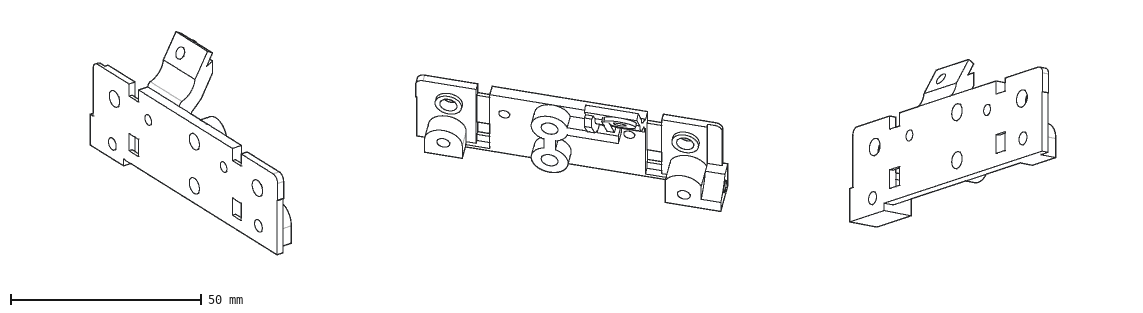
import cadquery as cq
import math


length = 83.5
lip_thickness = 1.0
plate_thickness = 2 * lip_thickness
core_thickness = 3 * lip_thickness
plate_left = 1.3
plate_bottom = 2.0
plate_top = 25.2
plate_corner_radius = 2.0
plate_mid_z = 18.1
right_edge_relief = 0.25

foot_width = 14.95
foot_depth = 9.0
foot_block_width = 5.3
foot_block_height = 9.1
foot_boss_top = 12.2
foot_cut_centre = 12.5
foot_cut_radius = 9.4
cross_hole_y = 3.6
cross_hole_z = 3.9
cross_hole_diameter = 3.3

slot_spans = [(17.4, 21.55), (63.4, 67.2)]
notch_floor = 21.6
window_bottom = 5.5
window_top = 10.6
flange_height = 1.0

boss_back = 7.0
centre_boss_x = 46.4
centre_boss_diameter = 9.9
upper_boss_z = 20.2
lower_boss_z = 7.2
end_boss_x = 75.0
end_boss_diameter = 10.2
left_ring_x = 10.85
right_ring_x = 74.5
ring_diameter = 7.2
ring_hole_diameter = 4.6
bar_thickness = 3.1
bar_left = 28.0

plate_holes = [
    (left_ring_x, plate_mid_z, ring_hole_diameter),
    (right_ring_x, plate_mid_z, ring_hole_diameter),
    (25.9, plate_mid_z, 2.9),
    (59.45, plate_mid_z, 2.9),
    (centre_boss_x, upper_boss_z, 4.5),
    (centre_boss_x, lower_boss_z, 4.5),
    (end_boss_x, lower_boss_z, 3.4),
    (9.9, 4.4, 3.4),
]

arm_left = slot_spans[0][1]
arm_width = 14.1
arm_angle = math.radians(30)
arm_thickness = 1.9
arm_tip_y = 12.2
arm_tip_z = 38.75
arm_bottom = upper_boss_z + bar_thickness / 2
arm_root_back = 4.3
arm_straight_length = 8.2
arm_boss_x = 26.4
arm_boss_radius = 4.3
arm_boss_height = 1.1
arm_hole_diameter = 3.25
arm_rib_width = 2.0

front_step_middle = (3.3, 26.05)
front_crease = (3.8, 26.5)
front_bend_middle = (6.7, 28.4)
back_bend_middle = (8.5, 27.2)
back_bend_end = (5.8, 25.05)
root_bend_middle = (4.7, 24.3)
root_bend_end_z = 23.1
back_straight_length = 7.85

rib_root = (4.5, 24.5)
rib_embed = 1.7
inner_rib_left = 29.2
inner_rib_foot_y = 6.0
outer_rib_back = 13.9
outer_rib_flat_top = 35.4
outer_rib_flat_bottom = 31.9
outer_rib_bend = (10.1, 25.3)
outer_rib_foot_top = 22.3


def box(x0, x1, y0, y1, z0, z1):
    """Block between two opposite corners."""
    return cq.Workplane("XY").box(x1 - x0, y1 - y0, z1 - z0, centered=False).translate((x0, y0, z0))


def post(x, z, diameter, y0, y1):
    """Round bar along Y."""
    return cq.Workplane("XZ", origin=(x, y0, z)).circle(diameter / 2).extrude(y0 - y1)


def arm_point(along, depth):
    """(y, z) of a point a distance below the arm tip and a depth behind the arm front face."""
    y = arm_tip_y - along * math.sin(arm_angle) + depth * math.cos(arm_angle)
    z = arm_tip_z - along * math.cos(arm_angle) - depth * math.sin(arm_angle)
    return (y, z)


def make_plate():
    lip = box(plate_left, length, 0, lip_thickness, plate_bottom, plate_top)
    body = box(foot_block_width, length, 0, plate_thickness, plate_bottom, plate_top)
    plate = lip.edges("|Y and >Z and <X").fillet(plate_corner_radius).union(body)
    plate = plate.edges("|Y and >Z and >X").fillet(plate_corner_radius)
    relief = box(length - right_edge_relief, length, 0, plate_thickness, plate_bottom, plate_mid_z)
    core = box(slot_spans[0][1], slot_spans[1][0], 0, core_thickness, plate_bottom, plate_top)
    return plate.cut(relief).union(core)


def cut_slots(body):
    flange_top = plate_bottom + flange_height
    for x0, x1 in slot_spans:
        body = body.cut(box(x0, x1, 0, core_thickness, notch_floor, plate_top))
        body = body.cut(box(x0, x1, 0, core_thickness, window_bottom, window_top))
        body = body.cut(box(x0, x1, lip_thickness, core_thickness, flange_top, plate_top))
    flange = box(foot_width, end_boss_x, 0, core_thickness, plate_bottom, flange_top)
    return body.union(flange)


def make_foot():
    block = box(0, foot_block_width, 0, foot_depth, 0, foot_block_height)
    scoop = (
        cq.Workplane("YZ")
        .center(foot_cut_centre, foot_cut_centre)
        .circle(foot_cut_radius)
        .extrude(foot_block_width)
    )
    boss = (
        cq.Workplane("XZ")
        .moveTo(foot_block_width, 0)
        .lineTo(foot_width, 0)
        .lineTo(foot_width, foot_block_height)
        .threePointArc(
            ((foot_block_width + foot_width) / 2, foot_boss_top),
            (foot_block_width, foot_block_height),
        )
        .close()
        .extrude(-foot_depth)
    )
    return block.cut(scoop).union(boss)


def make_bosses():
    bosses = post(end_boss_x, lower_boss_z, end_boss_diameter, 0, boss_back)
    end_left = end_boss_x - end_boss_diameter / 2
    end_right = end_boss_x + end_boss_diameter / 2
    end_foot = box(end_left, end_right, 0, boss_back, plate_bottom, lower_boss_z)
    bosses = bosses.union(end_foot)
    for z in (upper_boss_z, lower_boss_z):
        bosses = bosses.union(post(centre_boss_x, z, centre_boss_diameter, 0, boss_back))
    for x in (left_ring_x, right_ring_x):
        bosses = bosses.union(post(x, plate_mid_z, ring_diameter, 0, core_thickness))
    half_bar = bar_thickness / 2
    bar = box(bar_left, centre_boss_x, 0, boss_back, upper_boss_z - half_bar, upper_boss_z + half_bar)
    web_left = centre_boss_x - half_bar
    web_right = centre_boss_x + half_bar
    web = box(web_left, web_right, 0, boss_back, lower_boss_z, upper_boss_z)
    return bosses.union(bar).union(web)


def extrude_profile(profile, x, width):
    """Close a YZ outline and extrude it along X from the given x."""
    return profile.close().extrude(width).translate((x, 0, 0))


def make_arm():
    strip = (
        cq.Workplane("YZ")
        .moveTo(core_thickness, arm_bottom)
        .lineTo(core_thickness, plate_top)
        .threePointArc(front_step_middle, front_crease)
        .threePointArc(front_bend_middle, arm_point(arm_straight_length, 0))
        .lineTo(*arm_point(0, 0))
        .lineTo(*arm_point(0, arm_thickness))
        .lineTo(*arm_point(back_straight_length, arm_thickness))
        .threePointArc(back_bend_middle, back_bend_end)
        .threePointArc(root_bend_middle, (arm_root_back, root_bend_end_z))
        .lineTo(arm_root_back, arm_bottom)
    )
    arm = extrude_profile(strip, arm_left, arm_width)

    boss_depth = arm_thickness + arm_boss_height
    inner_rib = (
        cq.Workplane("YZ")
        .moveTo(core_thickness, arm_bottom)
        .lineTo(*rib_root)
        .lineTo(*arm_point(arm_straight_length, rib_embed))
        .lineTo(*arm_point(arm_boss_radius, rib_embed))
        .lineTo(*arm_point(arm_boss_radius, boss_depth))
        .lineTo(inner_rib_foot_y, arm_bottom)
    )
    arm = arm.union(extrude_profile(inner_rib, inner_rib_left, arm_rib_width))

    outer_rib = (
        cq.Workplane("YZ")
        .moveTo(core_thickness, arm_bottom)
        .lineTo(*rib_root)
        .lineTo(*arm_point(arm_straight_length, rib_embed))
        .lineTo(*arm_point(arm_boss_radius, rib_embed))
        .lineTo(outer_rib_back, outer_rib_flat_top)
        .lineTo(outer_rib_back, outer_rib_flat_bottom)
        .lineTo(*outer_rib_bend)
        .lineTo(boss_back, outer_rib_foot_top)
        .lineTo(boss_back, arm_bottom)
    )
    arm = arm.union(extrude_profile(outer_rib, arm_left + arm_width - arm_rib_width, arm_rib_width))

    hole_y, hole_z = arm_point(arm_boss_radius, 0)
    axis = cq.Plane(
        origin=(arm_boss_x, hole_y, hole_z),
        xDir=(1, 0, 0),
        normal=(0, math.cos(arm_angle), -math.sin(arm_angle)),
    )
    face = cq.Workplane(axis)
    boss = (
        face.workplane(offset=arm_thickness / 2)
        .circle(arm_boss_radius)
        .extrude(boss_depth - arm_thickness / 2)
    )
    hole = face.circle(arm_hole_diameter / 2).extrude(boss_depth)
    return arm.union(boss).cut(hole)


def cut_holes(body):
    for x, z, diameter in plate_holes:
        body = body.cut(post(x, z, diameter, 0, foot_depth))
    cross_hole = (
        cq.Workplane("YZ")
        .center(cross_hole_y, cross_hole_z)
        .circle(cross_hole_diameter / 2)
        .extrude(foot_block_width)
    )
    return body.cut(cross_hole)


bracket = cut_slots(make_plate()).union(make_foot()).union(make_bosses()).union(make_arm())
result = cut_holes(bracket)